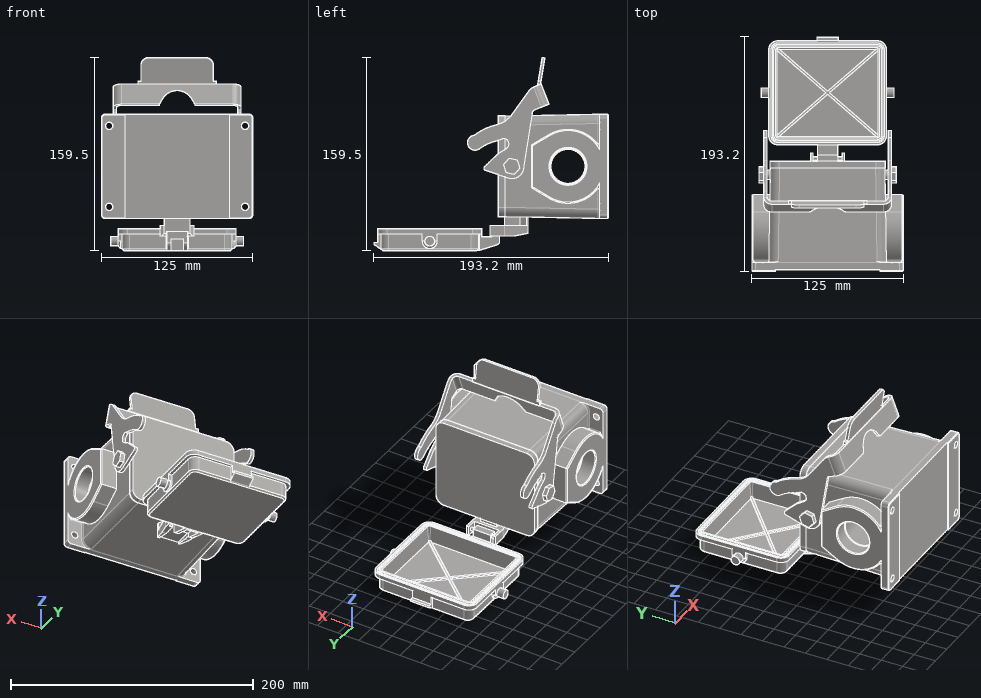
import cadquery as cq
import math


PLATE_W = 125.0
PLATE_H = 86.2
PLATE_T = 7.1
PLATE_BLEND_R = 1.2
PLATE_CORNER_R = 3.0
PLATE_CHAMFER = 0.5
RELIEF_W = 86.2
RELIEF_DEPTH = 1.2
SCREW_HOLE_D = 5.8
SCREW_PITCH_X = 112.0
SCREW_PITCH_Z = 66.9

BODY_LENGTH = 90.8
BODY_BACK_W = 97.0
BODY_BACK_H = PLATE_H
BODY_FRONT_W = 94.7
BODY_FRONT_H = 83.0
BODY_CORNER_R = 7.7
COLLAR_W = 95.5
COLLAR_H = 83.5
COLLAR_LENGTH = 5.6
COLLAR_Y = BODY_LENGTH - COLLAR_LENGTH

BORE_Y = 33.2
BORE_D = 28.0
SEAT_D = 29.8
SEAT_DEPTH = 12.8
BORE_CHAMFER = 0.8
BOSS_R = 30.5
BOSS_FRONT_Y = 63.4
BOSS_FRONT_HALF_H = 17.5
BOSS_CHAMFER = 1.0

PIVOT_Y = 79.6
PIVOT_R = 10.0
PIVOT_PIN_D = 8.0
LEVER_W = 105.5
LEVER_T = 2.9
LEVER_BEND_R = 6.8
LEVER_REACH = 116.0
BRIDGE_TILT = 21.0
BRIDGE_TOP_Y = 55.3
BRIDGE_TOP_Z = 68.0
BRIDGE_LENGTH = 18.0
BOLT_HEAD_D = 14.0
BOLT_HEAD_T = 3.9
BOLT_TURN = 13.0
NOTCH_R = 14.0
NOTCH_CENTRE_Z = 48.5
NOTCH_HALF_W = 12.4
NOTCH_FLARE_HALF_W = 14.7
NOTCH_MOUTH_RISE = 2.5
TAB_W = 59.9
TAB_T = 2.5
TAB_TOP_Z = 89.8
TAB_BASE_Y = 57.2
TAB_EMBED = 1.4
TAB_TILT = 9.4
TAB_CORNER_R = 6.5
TAB_FOOT_W = 65.0
TAB_FOOT_H = 2.3

LID_Y = 147.2
LID_BOTTOM_Z = -69.7
LID_H = 18.4
LID_TOP_Z = LID_BOTTOM_Z + LID_H
RIM_W = 97.4
RIM_LENGTH = 86.0
RIM_H = 4.3
RIM_CORNER_R = 7.7
PAN_W = 90.8
PAN_LENGTH = 80.4
PAN_CORNER_R = 6.2
PAN_CHAMFER = 1.5
GROOVE_STEPS = ((2.0, 0.8), (3.0, 1.5))
GROOVE_END = 4.3
CAVITY_INSET = 5.8
CAVITY_DEPTH = 15.0
CAVITY_DRAFT = 5.0
FLOOR_Z = LID_TOP_Z - CAVITY_DEPTH
RIB_W = 2.0
RIB_H = 1.4
LID_PIN_D = 8.0
LID_PIN_SPAN = 109.7
LID_PIN_Z = -61.6
PIN_BOSS_R = 6.2
PIN_BOSS_CHAMFER = 2.0
CATCH_W = 17.8
CATCH_TIP_Y = 193.2
CATCH_TOP_Z = -62.6
CATCH_TIP_H = 2.0
LID_ROOT = 2.0

HINGE_NECK_W = 21.3
HINGE_WAIST_W = 15.5
HINGE_W = 28.2
HINGE_BACK_Y = 66.0
HINGE_NECK_Y = 67.5
HINGE_WAIST_Y = 72.6
HINGE_FLARE_Y = 85.5
HINGE_TIP_Y = 97.5
HINGE_TOP_Z = -48.7
HINGE_BOTTOM_Z = -57.5
HINGE_SLOT_W = 24.0
HINGE_CHANNEL_W = 17.8
HINGE_CHANNEL_Z = -54.0
HINGE_PIN_D = 3.0
HINGE_PIN_Y = 93.1
HINGE_PIN_Z = -53.3
TONGUE_W = 16.8
TONGUE_GAP_W = 10.5
TONGUE_WEB_Z = -59.9
TONGUE_PAD_W = 18.5
TONGUE_PAD_T = 0.8
TONGUE_TOP_Z = -58.0
TONGUE_END_Y = 89.6
KNUCKLE_FRONT_Y = 96.0
KNUCKLE_TOP_Z = -50.6


def block(x, y, z):
    """Box between (low, high) limits along each axis."""
    size = (x[1] - x[0], y[1] - y[0], z[1] - z[0])
    return cq.Workplane().box(*size, centered=False).translate((x[0], y[0], z[0]))


def cross_bar(diameter, x, y, z):
    """Cylinder along X between two X limits."""
    bar = cq.Workplane("YZ").circle(diameter / 2).extrude(x[1] - x[0])
    return bar.translate((x[0], y, z))


def facing(y):
    """XZ sketch plane at a given Y, extruding towards +Y, with sketch x equal to X reversed."""
    return cq.Workplane(cq.Plane((0, y, 0), xDir=(-1, 0, 0), normal=(0, 1, 0)))


def profile_across(outline, width):
    """Closed (Y, Z) outline extruded symmetrically across X."""
    return cq.Workplane("YZ").polyline(outline).close().extrude(width / 2, both=True)


def make_housing():
    plate = facing(0).rect(PLATE_W, PLATE_H).extrude(PLATE_T)
    plate = plate.edges("|Y").fillet(PLATE_CORNER_R).faces("<Y").edges().chamfer(PLATE_CHAMFER)
    back = cq.Sketch().rect(BODY_BACK_W, BODY_BACK_H).vertices().fillet(BODY_CORNER_R)
    front = cq.Sketch().rect(BODY_FRONT_W, BODY_FRONT_H).vertices().fillet(BODY_CORNER_R)
    front = front.moved(cq.Location((0, 0, COLLAR_Y - PLATE_T)))
    body = facing(PLATE_T).placeSketch(back, front).loft()
    collar = facing(COLLAR_Y).rect(COLLAR_W, COLLAR_H).extrude(COLLAR_LENGTH)
    collar = collar.edges("|Y").fillet(BODY_CORNER_R)
    housing = plate.union(body).union(make_entry_boss())

    foot_x = PLATE_W / 2 - 2 * BOSS_CHAMFER
    foot_z = BODY_BACK_H / 2 - BODY_CORNER_R
    foot_edges = cq.selectors.BoxSelector(
        (-foot_x, PLATE_T - 0.2, -foot_z),
        (foot_x, PLATE_T + 0.2, foot_z),
    )
    housing = housing.edges(foot_edges).fillet(PLATE_BLEND_R)
    housing = housing.union(collar)

    relief = facing(0).rect(RELIEF_W, PLATE_H).extrude(RELIEF_DEPTH)
    screw_holes = facing(0).rect(SCREW_PITCH_X, SCREW_PITCH_Z, forConstruction=True).vertices()
    screw_holes = screw_holes.circle(SCREW_HOLE_D / 2).extrude(PLATE_T)
    housing = housing.cut(relief).cut(screw_holes)
    return cut_cable_bore(housing)


def make_entry_boss():
    """Rounded pads on both sides, a circle joined tangentially to a flat front edge."""
    run = BOSS_FRONT_Y - BORE_Y
    reach = math.hypot(run, BOSS_FRONT_HALF_H)
    tangent = math.atan2(BOSS_FRONT_HALF_H, run) + math.acos(BOSS_R / reach)
    tangent_y = BORE_Y + BOSS_R * math.cos(tangent)
    tangent_z = BOSS_R * math.sin(tangent)
    back_y = PLATE_T - BOSS_CHAMFER
    back_z = math.sqrt(BOSS_R**2 - (BORE_Y - back_y) ** 2)
    mid = (tangent + math.pi) / 2
    mid_y = BORE_Y + BOSS_R * math.cos(mid)
    mid_z = BOSS_R * math.sin(mid)
    boss = (
        cq.Workplane("YZ")
        .moveTo(back_y, -back_z)
        .threePointArc((mid_y, -mid_z), (tangent_y, -tangent_z))
        .lineTo(BOSS_FRONT_Y, -BOSS_FRONT_HALF_H)
        .lineTo(BOSS_FRONT_Y, BOSS_FRONT_HALF_H)
        .lineTo(tangent_y, tangent_z)
        .threePointArc((mid_y, mid_z), (back_y, back_z))
        .close()
        .extrude(PLATE_W / 2, both=True)
    )
    return boss.faces("<X or >X").chamfer(BOSS_CHAMFER)


def cut_cable_bore(housing):
    """Bore through both sides, with a wider chamfered seat at each mouth."""
    outer = PLATE_W / 2
    housing = housing.cut(cross_bar(BORE_D, (-outer, outer), BORE_Y, 0))
    seat = cross_bar(SEAT_D, (outer - SEAT_DEPTH, outer), BORE_Y, 0)
    lead_in = (
        cq.Workplane("YZ", origin=(outer - BORE_CHAMFER, BORE_Y, 0))
        .circle(SEAT_D / 2)
        .workplane(offset=BORE_CHAMFER)
        .circle(SEAT_D / 2 + BORE_CHAMFER)
        .loft()
    )
    mouth = seat.union(lead_in)
    return housing.cut(mouth).cut(mouth.mirror("YZ"))


def lever_outline():
    """Side shape of the lever: bridge end, gripping finger, hook notch and pivot end."""
    tilt = math.radians(BRIDGE_TILT)
    bridge_bottom = (
        BRIDGE_TOP_Y - BRIDGE_LENGTH * math.sin(tilt),
        BRIDGE_TOP_Z - BRIDGE_LENGTH * math.cos(tilt),
    )
    return (
        cq.Workplane("YZ")
        .moveTo(BRIDGE_TOP_Y, BRIDGE_TOP_Z)
        .lineTo(61.0, 65.7)
        .threePointArc((64.0, 64.0), (66.3, 61.2))
        .lineTo(80.2, 42.0)
        .threePointArc((85.2, 37.3), (91.4, 34.5))
        .threePointArc((101.6, 31.1), (110.5, 25.7))
        .threePointArc((115.5, 16.8), (106.0, 14.5))
        .threePointArc((99.1, 18.5), (91.4, 21.0))
        .lineTo(86.8, 23.0)
        .threePointArc((82.1, 19.3), (84.5, 14.5))
        .lineTo(91.4, 10.0)
        .lineTo(102.0, -0.2)
        .threePointArc((102.5, -1.5), (101.6, -3.3))
        .lineTo(PIVOT_Y + 2.9, -PIVOT_R + 0.4)
        .threePointArc((PIVOT_Y - 6.5, -7.7), (PIVOT_Y - PIVOT_R, 0))
        .lineTo(62.5, 45.0)
        .lineTo(61.0, 46.4)
        .lineTo(*bridge_bottom)
        .close()
    )


def make_lever():
    """Bent strip, U-shaped around the housing, trimmed to the side outline."""
    tilt = math.radians(BRIDGE_TILT)
    strip_plane = cq.Plane(
        (0, BRIDGE_TOP_Y, BRIDGE_TOP_Z),
        xDir=(1, 0, 0),
        normal=(0, math.sin(tilt), math.cos(tilt)),
    )
    half_reach = LEVER_REACH / 2
    outside = cq.Workplane(strip_plane).center(0, half_reach).rect(LEVER_W, LEVER_REACH)
    outside = outside.extrude(LEVER_REACH, both=True)
    inside = cq.Workplane(strip_plane).center(0, half_reach + LEVER_T)
    inside = inside.rect(LEVER_W - 2 * LEVER_T, LEVER_REACH).extrude(LEVER_REACH, both=True)
    bend_edges = cq.selectors.ParallelDirSelector(strip_plane.zDir)
    outside = outside.faces("<Y").edges(bend_edges).fillet(LEVER_BEND_R)
    inside = inside.faces("<Y").edges(bend_edges).fillet(LEVER_BEND_R - LEVER_T)
    lever = outside.cut(inside).intersect(lever_outline().extrude(LEVER_W, both=True))
    return lever.cut(make_bridge_notch()).union(make_tab())


def make_bridge_notch():
    """Rounded cut-out with flared mouth in the lower edge of the bridge."""
    flare_top = NOTCH_CENTRE_Z + math.sqrt(NOTCH_R**2 - NOTCH_HALF_W**2)
    mouth_z = NOTCH_CENTRE_Z + NOTCH_MOUTH_RISE
    low_z = NOTCH_CENTRE_Z - NOTCH_R
    return (
        facing(BRIDGE_TOP_Y - BRIDGE_LENGTH)
        .moveTo(-NOTCH_FLARE_HALF_W, low_z)
        .lineTo(-NOTCH_FLARE_HALF_W, mouth_z)
        .lineTo(-NOTCH_HALF_W, flare_top)
        .threePointArc((0, NOTCH_CENTRE_Z + NOTCH_R), (NOTCH_HALF_W, flare_top))
        .lineTo(NOTCH_FLARE_HALF_W, mouth_z)
        .lineTo(NOTCH_FLARE_HALF_W, low_z)
        .close()
        .extrude(2 * BRIDGE_LENGTH)
    )


def make_tab():
    """Thumb tab leaning off the upper edge of the bridge."""
    tilt = math.radians(TAB_TILT)
    base_z = BRIDGE_TOP_Z - TAB_EMBED
    length = (TAB_TOP_Z - base_z - TAB_T / 2 * math.sin(tilt)) / math.cos(tilt)
    tab = cq.Workplane().box(TAB_W, TAB_T, length, centered=(True, True, False))
    tab = tab.edges("|Y and >Z").fillet(TAB_CORNER_R)
    foot_h = TAB_FOOT_H + TAB_EMBED
    foot = cq.Workplane().box(TAB_FOOT_W, TAB_T, foot_h, centered=(True, True, False))
    tab = tab.union(foot).rotate((0, 0, 0), (1, 0, 0), TAB_TILT)
    return tab.translate((0, TAB_BASE_Y, base_z))


def make_pivots():
    """Pin joining housing and lever on each side, with a hexagonal head."""
    half = LEVER_W / 2
    head = cq.Workplane("YZ").polygon(6, BOLT_HEAD_D).extrude(BOLT_HEAD_T)
    head = head.rotate((0, 0, 0), (1, 0, 0), BOLT_TURN).translate((half, PIVOT_Y, 0))
    pin = cross_bar(PIVOT_PIN_D, (BODY_FRONT_W / 2 - 3.9, half), PIVOT_Y, 0)
    pivot = pin.union(head)
    return pivot.union(pivot.mirror("YZ"))


def lid_slab(width, length, corner_r, low, high):
    """Rounded rectangular slab centred on the lid between two heights."""
    slab = cq.Workplane().rect(width, length).extrude(high - low).edges("|Z").fillet(corner_r)
    return slab.translate((0, LID_Y, low))


def rim_inset(inset, low, high):
    """Slab following the rim outline, inset by a given amount."""
    return lid_slab(RIM_W - 2 * inset, RIM_LENGTH - 2 * inset, RIM_CORNER_R - inset, low, high)


def make_lid():
    rim = lid_slab(RIM_W, RIM_LENGTH, RIM_CORNER_R, LID_TOP_Z - RIM_H, LID_TOP_Z)
    pan = lid_slab(PAN_W, PAN_LENGTH, PAN_CORNER_R, LID_BOTTOM_Z, LID_TOP_Z)
    pan = pan.faces("<Z").edges().chamfer(PAN_CHAMFER)
    lid = rim.union(pan).union(make_lid_pins()).union(make_catch()).union(make_tongue())

    for inset, depth in GROOVE_STEPS:
        bottom = LID_TOP_Z - depth
        groove = rim_inset(inset, bottom, LID_TOP_Z).cut(rim_inset(GROOVE_END, bottom, LID_TOP_Z))
        lid = lid.cut(groove)
    mouth = cq.Sketch().rect(RIM_W - 2 * CAVITY_INSET, RIM_LENGTH - 2 * CAVITY_INSET)
    mouth = mouth.vertices().fillet(RIM_CORNER_R - CAVITY_INSET)
    cavity = cq.Workplane(origin=(0, LID_Y, LID_TOP_Z)).placeSketch(mouth)
    cavity = cavity.extrude(-CAVITY_DEPTH, taper=CAVITY_DRAFT)
    return lid.cut(cavity).union(make_lid_ribs())


def make_lid_ribs():
    """Two low ribs along the diagonals of the lid floor."""
    span_x = RIM_W - 2 * CAVITY_INSET
    span_y = RIM_LENGTH - 2 * CAVITY_INSET
    angle = math.degrees(math.atan2(span_y, span_x))
    length = math.hypot(span_x, span_y) - RIM_CORNER_R / 2
    ribs = cq.Workplane(origin=(0, LID_Y, FLOOR_Z))
    for turn in (angle, -angle):
        ribs = ribs.union(
            cq.Workplane()
            .rect(length, RIB_W)
            .extrude(RIB_H)
            .rotate((0, 0, 0), (0, 0, 1), turn)
            .translate((0, LID_Y, FLOOR_Z))
        )
    return ribs


def make_lid_pins():
    """Side pins standing on U-shaped pads that hang from the rim."""
    pin_root = PAN_W / 2 - LID_ROOT / 2
    pad_out = RIM_W / 2
    pad = cross_bar(2 * PIN_BOSS_R, (pin_root, pad_out), LID_Y, LID_PIN_Z)
    pad = pad.faces(">X").chamfer(PIN_BOSS_CHAMFER)
    pad_y = (LID_Y - PIN_BOSS_R, LID_Y + PIN_BOSS_R)
    pad = pad.union(block((pin_root, pad_out), pad_y, (LID_PIN_Z, LID_TOP_Z - RIM_H)))
    pin = cross_bar(LID_PIN_D, (pin_root, LID_PIN_SPAN / 2), LID_Y, LID_PIN_Z)
    side = pad.union(pin)
    return side.union(side.mirror("YZ"))


def make_catch():
    """Small hooked lip on the free edge of the lid."""
    rim_y = LID_Y + RIM_LENGTH / 2
    root_y = LID_Y + PAN_LENGTH / 2 - LID_ROOT
    outline = [
        (root_y, LID_TOP_Z - RIM_H),
        (rim_y, LID_TOP_Z - RIM_H),
        (rim_y, CATCH_TOP_Z),
        (CATCH_TIP_Y, CATCH_TOP_Z),
        (CATCH_TIP_Y, CATCH_TOP_Z - CATCH_TIP_H),
        (root_y, LID_BOTTOM_Z),
    ]
    return profile_across(outline, CATCH_W)


def make_tongue():
    """Hinge tongue of the lid: knuckle, thin web and two sloping cheeks on a shallow pad."""
    pan_y = LID_Y - PAN_LENGTH / 2
    rim_y = LID_Y - RIM_LENGTH / 2
    root_y = pan_y + LID_ROOT
    low_z = LID_BOTTOM_Z + 0.2
    outline = [
        (root_y, low_z),
        (root_y, LID_TOP_Z - RIM_H),
        (rim_y, LID_TOP_Z - RIM_H),
        (rim_y, TONGUE_TOP_Z),
        (KNUCKLE_FRONT_Y, TONGUE_TOP_Z),
        (KNUCKLE_FRONT_Y, KNUCKLE_TOP_Z),
        (TONGUE_END_Y, KNUCKLE_TOP_Z),
        (TONGUE_END_Y, -63.4),
        (TONGUE_END_Y + 2.3, -65.0),
        (pan_y, low_z),
    ]
    tongue = profile_across(outline, TONGUE_W)
    pad_y = pan_y - TONGUE_PAD_T
    gap_x = TONGUE_GAP_W / 2
    gap = block((-gap_x, gap_x), (TONGUE_END_Y, pad_y), (LID_BOTTOM_Z, TONGUE_WEB_Z))
    pad_x = TONGUE_PAD_W / 2
    pad_z = (LID_BOTTOM_Z + PAN_CHAMFER, LID_TOP_Z - RIM_H)
    pad = block((-pad_x, pad_x), (pad_y, root_y), pad_z)
    return tongue.cut(gap).union(pad)


def make_hinge():
    """Bracket under the housing: waisted neck, flared arm, two ears and the hinge pin."""
    neck_x = HINGE_NECK_W / 2
    waist_x = HINGE_WAIST_W / 2
    neck_plan = [
        (-neck_x, HINGE_BACK_Y),
        (neck_x, HINGE_BACK_Y),
        (neck_x, HINGE_NECK_Y),
        (waist_x, HINGE_WAIST_Y),
        (waist_x, HINGE_FLARE_Y),
        (-waist_x, HINGE_FLARE_Y),
        (-waist_x, HINGE_WAIST_Y),
        (-neck_x, HINGE_NECK_Y),
    ]
    neck_top = -BODY_FRONT_H / 2 + 2
    neck_bottom = HINGE_TOP_Z - 2
    neck = cq.Workplane(origin=(0, 0, neck_bottom)).polyline(neck_plan).close()
    neck = neck.extrude(neck_top - neck_bottom)

    side = [
        (HINGE_BACK_Y, HINGE_TOP_Z),
        (HINGE_TIP_Y, HINGE_TOP_Z),
        (HINGE_TIP_Y, HINGE_BOTTOM_Z),
        (77.7, HINGE_BOTTOM_Z),
        (HINGE_BACK_Y, -55.3),
    ]
    ear_x = HINGE_W / 2
    plan = [
        (-neck_x, HINGE_BACK_Y),
        (neck_x, HINGE_BACK_Y),
        (ear_x, HINGE_FLARE_Y),
        (ear_x, HINGE_TIP_Y),
        (-ear_x, HINGE_TIP_Y),
        (-ear_x, HINGE_FLARE_Y),
    ]
    arm_z = (HINGE_BOTTOM_Z, HINGE_TOP_Z)
    plan_prism = cq.Workplane(origin=(0, 0, HINGE_BOTTOM_Z)).polyline(plan).close()
    plan_prism = plan_prism.extrude(HINGE_TOP_Z - HINGE_BOTTOM_Z)
    slot_x = HINGE_SLOT_W / 2
    slot = block((-slot_x, slot_x), (TONGUE_END_Y - 1.2, HINGE_TIP_Y), arm_z)
    channel_x = HINGE_CHANNEL_W / 2
    channel_z = (HINGE_BOTTOM_Z, HINGE_CHANNEL_Z)
    channel = block((-channel_x, channel_x), (HINGE_BACK_Y, HINGE_TIP_Y), channel_z)
    arm = profile_across(side, HINGE_W).intersect(plan_prism).cut(slot).cut(channel)
    pin = cross_bar(HINGE_PIN_D, (-ear_x, ear_x), HINGE_PIN_Y, HINGE_PIN_Z)
    return neck.union(arm).union(pin)


result = make_housing().union(make_lever()).union(make_pivots()).union(make_hinge()).union(make_lid())